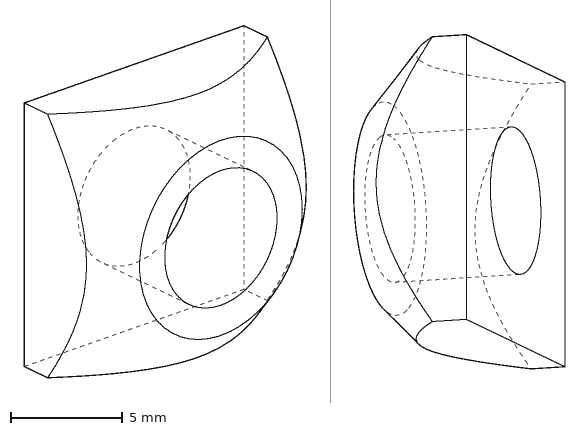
import cadquery as cq

side = 13.0
thickness = 6.0
bore_diameter = 6.64
front_face_radius = 4.81

cone_back_radius = front_face_radius + thickness


def square_block():
    return cq.Workplane("YZ").rect(side, side).extrude(thickness)


def cone_envelope():
    profile = [
        (0, 0),
        (0, cone_back_radius),
        (thickness, front_face_radius),
        (thickness, 0),
    ]
    return cq.Workplane("XY").polyline(profile).close().revolve(360, (0, 0, 0), (1, 0, 0))


def bore():
    return cq.Workplane("YZ").circle(bore_diameter / 2).extrude(thickness)


result = square_block().intersect(cone_envelope()).cut(bore())